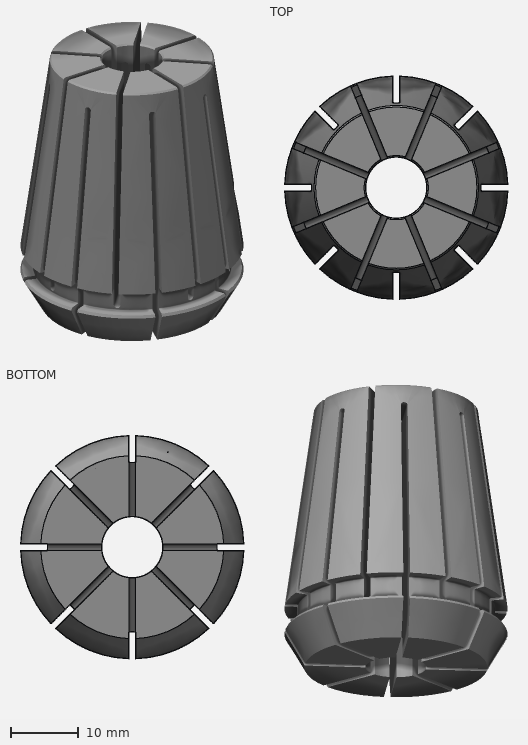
import cadquery as cq
import math

length = 40.0
max_diameter = 32.95
max_radius = max_diameter / 2

taper_base_z = 9.1
taper_angle = 8.0
top_chamfer = 0.25

groove_radius = 14.6
groove_bottom_z = 5.55
groove_fillet = 0.15
nose_edge_z = 5.15
nose_lip_inset = 0.25
nose_angle = 30.0

bore_radius = 9.0 / 2
bore_chamfer = 0.25

slot_width = 1.0
slot_corner_radius = 0.45
slots_per_end = 8
bottom_slot_end_z = 37.1
top_slot_end_z = 5.9

top_radius = max_radius - (length - taper_base_z) * math.tan(math.radians(taper_angle))
nose_radius = max_radius - nose_edge_z * math.tan(math.radians(nose_angle))


def collet_body():
    """Revolve the half section, bore included, about the Z axis."""
    return (
        cq.Workplane("XZ")
        .moveTo(bore_radius, 0)
        .lineTo(nose_radius, 0)
        .lineTo(max_radius, nose_edge_z)
        .lineTo(max_radius - nose_lip_inset, groove_bottom_z)
        .lineTo(groove_radius + groove_fillet, groove_bottom_z)
        .radiusArc((groove_radius, groove_bottom_z + groove_fillet), groove_fillet)
        .lineTo(groove_radius, taper_base_z - groove_fillet)
        .radiusArc((groove_radius + groove_fillet, taper_base_z), groove_fillet)
        .lineTo(max_radius, taper_base_z)
        .lineTo(top_radius, length - top_chamfer)
        .lineTo(top_radius - top_chamfer, length)
        .lineTo(bore_radius + bore_chamfer, length)
        .lineTo(bore_radius, length - bore_chamfer)
        .close()
        .revolve(360, (0, 0, 0), (0, 1, 0))
    )


def slot_cutter(open_z, end_z, angle):
    """Slot across the full diameter, open at open_z, with rounded corners at end_z."""
    depth = abs(open_z - end_z)
    return (
        cq.Workplane("XY")
        .box(slot_width, max_diameter, depth)
        .edges("|Y")
        .edges("<Z" if end_z < open_z else ">Z")
        .fillet(slot_corner_radius)
        .translate((0, 0, (open_z + end_z) / 2))
        .rotate((0, 0, 0), (0, 0, 1), angle)
    )


result = collet_body()

slot_pitch = 360 / slots_per_end
for index in range(slots_per_end // 2):
    angle = index * slot_pitch
    result = result.cut(slot_cutter(0, bottom_slot_end_z, angle))
    result = result.cut(slot_cutter(length, top_slot_end_z, angle + slot_pitch / 2))